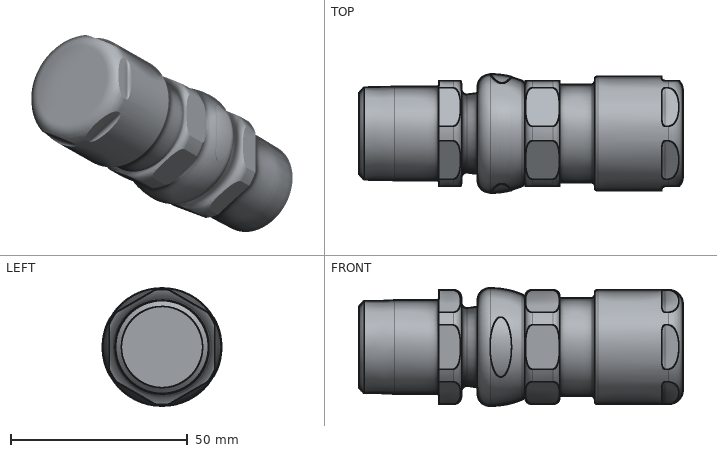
import cadquery as cq
import math

thread_start = 0.0
thread_taper_end = 10.0
body_hex_start = 22.7
body_hex_end = 29.1
neck_waist = 30.5
collar_start = 33.55
collar_crown = 37.15
nut_start = 47.05
nut_end = 56.95
shoulder_x = 66.75
cap_end = 91.85

cutter_margin = 1.0

thread_radius = 26.67 / 2
thread_tip_radius = 13.15
thread_face_radius = 23.0 / 2
thread_chamfer_length = 1.5
thread_root_fillet = 0.55
neck_waist_radius = 11.1
neck_end_radius = 11.5

across_flats = 30.0
hex_corner_radius = 32.5 / 2
hex_sides = 6
body_hex_round = 2.4
nut_round = 2.0

collar_radius = 33.5 / 2
collar_front_round = collar_crown - collar_start
collar_back_round = 1.4
crown_arc_radius = 24.0
pad_height = 0.15
pad_length = 6.1
pad_width = 17.0
pad_center_x = 40.2

shank_radius = 13.95
shank_root_fillet = 0.85
cap_radius = hex_corner_radius
cap_edge_round = 0.9
cap_dome_round = 4.2
cap_flat_start = 85.75
cap_flat_root_fillet = 0.9


def revolve_about_x(outline):
    """Turn a closed outline, with its base on the X axis, around that axis."""
    return outline.close().revolve(360, (0, 0, 0), (1, 0, 0))


def cylinder_along_x(start, end, radius):
    return cq.Workplane("YZ", origin=(start, 0, 0)).circle(radius).extrude(end - start)


def hex_prism(start, end):
    """Hexagonal prism along the X axis with flats facing +Y and -Y."""
    corner_distance = across_flats / math.cos(math.pi / hex_sides)
    return (
        cq.Workplane("YZ", origin=(start, 0, 0))
        .transformed(rotate=(0, 0, 90))
        .polygon(hex_sides, corner_distance)
        .extrude(end - start)
    )


def make_threaded_body():
    turned_end = revolve_about_x(
        cq.Workplane("XY")
        .moveTo(thread_start, 0)
        .lineTo(thread_start, thread_face_radius)
        .lineTo(thread_start + thread_chamfer_length, thread_tip_radius)
        .lineTo(thread_taper_end, thread_radius)
        .lineTo(body_hex_start - thread_root_fillet, thread_radius)
        .radiusArc((body_hex_start, thread_radius + thread_root_fillet), -thread_root_fillet)
        .lineTo(body_hex_start, 0)
    )
    hexagon = cylinder_along_x(body_hex_start, body_hex_end, hex_corner_radius)
    hexagon = hexagon.faces(">X").edges().fillet(body_hex_round)
    hexagon = hexagon.intersect(hex_prism(body_hex_start, body_hex_end))
    neck_fillet = neck_waist - body_hex_end
    neck = revolve_about_x(
        cq.Workplane("XY")
        .moveTo(body_hex_end, 0)
        .lineTo(body_hex_end, neck_waist_radius + neck_fillet)
        .radiusArc((neck_waist, neck_waist_radius), -neck_fillet)
        .lineTo(collar_start, neck_end_radius)
        .lineTo(collar_start, 0)
    )
    return turned_end.union(hexagon).union(neck)


def collar_shape(radius):
    """Turned collar whose crown falls away toward the nut along an arc."""
    crown_length = nut_start - collar_crown
    crown_drop = crown_arc_radius - math.sqrt(crown_arc_radius**2 - crown_length**2)
    blank = revolve_about_x(
        cq.Workplane("XY")
        .moveTo(collar_start, 0)
        .lineTo(collar_start, radius - collar_front_round)
        .radiusArc((collar_crown, radius), collar_front_round)
        .radiusArc((nut_start, radius - crown_drop), crown_arc_radius)
        .lineTo(nut_start, 0)
    )
    return blank.faces(">X").edges().fillet(collar_back_round)


def make_collar():
    oval_prism = (
        cq.Workplane("XZ", origin=(pad_center_x, 0, 0))
        .ellipse(pad_length / 2, pad_width / 2)
        .extrude(collar_radius + cutter_margin, both=True)
    )
    pads = collar_shape(collar_radius + pad_height).intersect(oval_prism)
    return collar_shape(collar_radius).union(pads)


def make_nut():
    nut = cylinder_along_x(nut_start, nut_end, hex_corner_radius)
    nut = nut.faces("<X or >X").edges().fillet(nut_round)
    return nut.intersect(hex_prism(nut_start, nut_end))


def make_cap():
    cap = revolve_about_x(
        cq.Workplane("XY")
        .moveTo(nut_end, 0)
        .lineTo(nut_end, shank_radius)
        .lineTo(shoulder_x - shank_root_fillet, shank_radius)
        .radiusArc((shoulder_x, shank_radius + shank_root_fillet), -shank_root_fillet)
        .lineTo(shoulder_x, cap_radius - cap_edge_round)
        .radiusArc((shoulder_x + cap_edge_round, cap_radius), cap_edge_round)
        .lineTo(cap_end - cap_dome_round, cap_radius)
        .radiusArc((cap_end, cap_radius - cap_dome_round), cap_dome_round)
        .lineTo(cap_end, 0)
    )
    flat_cutter = (
        cq.Workplane("XY")
        .moveTo(cap_flat_start, cap_radius + cutter_margin)
        .lineTo(cap_flat_start, across_flats / 2 + cap_flat_root_fillet)
        .radiusArc((cap_flat_start + cap_flat_root_fillet, across_flats / 2), -cap_flat_root_fillet)
        .lineTo(cap_end + cutter_margin, across_flats / 2)
        .lineTo(cap_end + cutter_margin, cap_radius + cutter_margin)
        .close()
        .extrude(cap_radius / 2, both=True)
    )
    for side in range(hex_sides):
        cap = cap.cut(flat_cutter.rotate((0, 0, 0), (1, 0, 0), side * 360 / hex_sides))
    return cap


threaded_body = make_threaded_body()
collar = make_collar()
nut = make_nut()
cap = make_cap()

bodies = [threaded_body, collar, nut, cap]
result = cq.Compound.makeCompound([body.solids().val() for body in bodies])